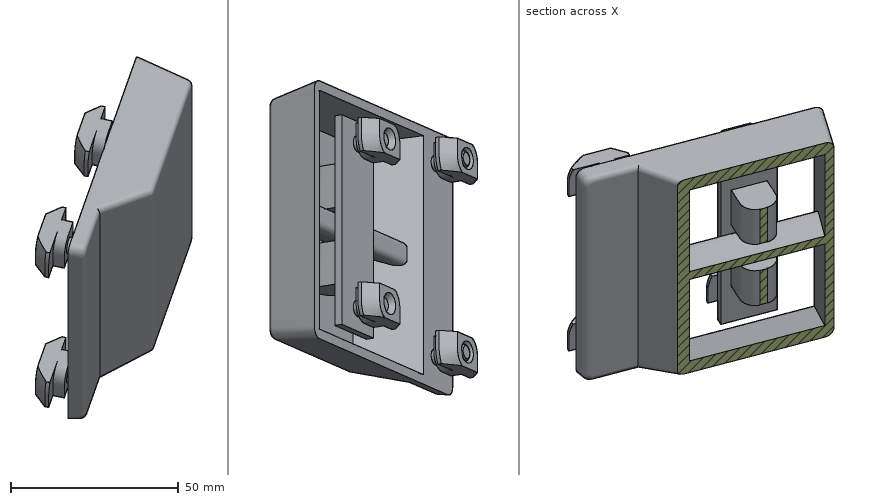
import cadquery as cq
SIDE = 80.0
DEPTH = 18.0
DRAFT_ANGLE = 9.0
CORNER_RADIUS = 3.0
EDGE_RADIUS = 2.0

STEP_DEPTH = 5.0
SLOPE_HIGH_Y = -9.0
SLOPE_LOW_Y = SLOPE_HIGH_Y - (DEPTH - STEP_DEPTH)

CAVITY_DEPTH = 15.4
OPENING_HIGH_Y = 37.0
OPENING_LOW_Y = -23.0
OPENING_HALF_Z = 37.0
FLOOR_HIGH_Y = 34.5
FLOOR_LOW_Y = OPENING_LOW_Y + CAVITY_DEPTH
FLOOR_HALF_Z = 32.7

RIB_TOP_X = 3.5
RIB_WAIST_X = 6.7
RIB_WIDTH = 7.5
RIB_FOOT_WIDTH = 2.4
RIB_EDGE_RADIUS = 2.0

PLATE_Y = 15.0
PLATE_WIDTH = 18.3
PLATE_LENGTH = 65.0
PLATE_THICKNESS = 2.5

LUG_BACK_X = 14.0
LUG_WIDTH = 11.6
LUG_OUTER_Z = 18.6
LUG_INNER_Z = 5.1
LUG_EDGE_RADIUS = 5.0
SEAT_WIDTH = 3.2

NUT_FACE_X = -11.2
FLANGE_BACK_X = -6.0
NECK_BACK_X = -2.5
NUT_LENGTH = 19.7
NUT_WIDTH = 10.0
BEVEL = 4.0
STUD_DIAMETER = 5.0

MOUTH_DIAMETER = 6.7
MOUTH_CHAMFER = 0.4
CONE_DEPTH = 1.3
HOLE_FLOOR_DIAMETER = 4.0

TIP_DIAMETER = 5.0
TIP_CHAMFER = 0.5
TIP_RECESS = 0.3

STEP_NUT_Y = -30.0
STEP_NUT_Z = 30.0
PLATE_NUT_Z = 25.5

TOLERANCE = 0.1


def box(x_range, y_range, z_range):
    """A box given by its limits along X, Y and Z."""
    sizes = [high - low for low, high in (x_range, y_range, z_range)]
    corner = (x_range[0], y_range[0], z_range[0])
    return cq.Workplane("XY").box(*sizes, centered=False).translate(corner)


def centered_range(middle, size):
    return middle - size / 2, middle + size / 2


def is_corner_edge(edge):
    """Corner edges start on the mounting face and leave it."""
    bounds = edge.BoundingBox()
    return bounds.xmin < TOLERANCE < bounds.xmax


def is_raised_edge(edge):
    """Edges around the far faces, without the inside bend at the foot of the slope."""
    at_slope_foot = abs(edge.Center().y - SLOPE_LOW_Y) < TOLERANCE
    return edge.BoundingBox().xmin > STEP_DEPTH - TOLERANCE and not at_slope_foot


def housing_block():
    block = cq.Workplane("YZ").rect(SIDE, SIDE).extrude(DEPTH, taper=DRAFT_ANGLE)
    step_relief = (
        cq.Workplane("XY")
        .polyline([
            (DEPTH, SLOPE_HIGH_Y),
            (STEP_DEPTH, SLOPE_LOW_Y),
            (STEP_DEPTH, -SIDE),
            (DEPTH, -SIDE),
        ])
        .close()
        .extrude(SIDE, both=True)
    )
    block = block.cut(step_relief)
    block = block.edges().filter(is_corner_edge).fillet(CORNER_RADIUS)
    return block.edges().filter(is_raised_edge).fillet(EDGE_RADIUS)


def cavity_outline(x, low_y, high_y, half_z):
    corners = [
        cq.Vector(x, low_y, -half_z),
        cq.Vector(x, high_y, -half_z),
        cq.Vector(x, high_y, half_z),
        cq.Vector(x, low_y, half_z),
    ]
    return cq.Wire.makePolygon(corners, close=True)


def cavity():
    opening = cavity_outline(0, OPENING_LOW_Y, OPENING_HIGH_Y, OPENING_HALF_Z)
    floor = cavity_outline(CAVITY_DEPTH, FLOOR_LOW_Y, FLOOR_HIGH_Y, FLOOR_HALF_Z)
    return cq.Workplane(cq.Solid.makeLoft([opening, floor], True))


def rib():
    """The rib as a bar over the full side, to be trimmed to the cavity."""
    half_width = RIB_WIDTH / 2
    half_foot = RIB_FOOT_WIDTH / 2
    bar = (
        cq.Workplane("XZ", origin=(0, SIDE / 2, 0))
        .polyline([
            (RIB_TOP_X, -half_width),
            (RIB_TOP_X, half_width),
            (RIB_WAIST_X, half_width),
            (CAVITY_DEPTH, half_foot),
            (CAVITY_DEPTH, -half_foot),
            (RIB_WAIST_X, -half_width),
        ])
        .close()
        .extrude(SIDE)
    )
    return bar.edges("<X and |Y").fillet(RIB_EDGE_RADIUS)


def plate():
    width_range = centered_range(PLATE_Y, PLATE_WIDTH)
    return box((0, PLATE_THICKNESS), width_range, centered_range(0, PLATE_LENGTH))


def plate_seat():
    width_range = centered_range(PLATE_Y, LUG_WIDTH)
    return box((PLATE_THICKNESS, RIB_TOP_X), width_range, centered_range(0, SEAT_WIDTH))


def lugs():
    width_range = centered_range(PLATE_Y, LUG_WIDTH)
    upper_lug = box((PLATE_THICKNESS, LUG_BACK_X), width_range, (LUG_INNER_Z, LUG_OUTER_Z))
    upper_lug = upper_lug.edges(">X and |Z").fillet(LUG_EDGE_RADIUS)
    return upper_lug.union(upper_lug.mirror("XY"))


def make_housing():
    hollow = cavity()
    housing = housing_block().cut(hollow)
    housing = housing.union(rib().intersect(hollow))
    return housing.union(plate_seat()).union(plate()).union(lugs())


def nut_profile():
    """Half of the nut's T-shaped section, from the X axis towards +Y."""
    half_length = NUT_LENGTH / 2
    half_neck = NUT_WIDTH / 2
    return (
        cq.Workplane("XY")
        .polyline([
            (NUT_FACE_X, 0),
            (NUT_FACE_X, half_length - BEVEL),
            (NUT_FACE_X + BEVEL, half_length),
            (FLANGE_BACK_X, half_length),
            (FLANGE_BACK_X, half_neck),
            (NECK_BACK_X, half_neck),
            (NECK_BACK_X, 0),
        ])
        .close()
    )


def nut_blank():
    """Two opposite quarters are straight, the other two are round so that the nut can turn in."""
    half_width = NUT_WIDTH / 2
    straight_quarter = nut_profile().extrude(half_width)
    round_zone = box((NUT_FACE_X, 0), (0, NUT_LENGTH), (-half_width, 0))
    round_quarter = nut_profile().revolve(360, (0, 0, 0), (1, 0, 0)).intersect(round_zone)
    half_nut = straight_quarter.union(round_quarter)
    return half_nut.union(half_nut.rotate((0, 0, 0), (1, 0, 0), 180))


def nut_hole():
    mouth_radius = MOUTH_DIAMETER / 2
    cone_radius = mouth_radius - MOUTH_CHAMFER
    cone_x = NUT_FACE_X + MOUTH_CHAMFER
    floor_x = cone_x + CONE_DEPTH
    return (
        cq.Workplane("XY")
        .polyline([
            (NUT_FACE_X, 0),
            (NUT_FACE_X, mouth_radius),
            (cone_x, cone_radius),
            (floor_x, HOLE_FLOOR_DIAMETER / 2),
            (floor_x, 0),
        ])
        .close()
        .revolve(360, (0, 0, 0), (1, 0, 0))
    )


def stud_tip():
    tip_x = NUT_FACE_X + TIP_RECESS
    tip = cq.Workplane("YZ", origin=(tip_x, 0, 0)).circle(TIP_DIAMETER / 2)
    return tip.extrude(NECK_BACK_X - tip_x).faces("<X").chamfer(TIP_CHAMFER)


def make_t_nut(y, z, has_tip):
    stud = cq.Workplane("YZ").circle(STUD_DIAMETER / 2).extrude(NECK_BACK_X)
    nut = nut_blank().union(stud).cut(nut_hole())
    if has_tip:
        nut = nut.union(stud_tip())
    return nut.translate((0, y, z))


housing = make_housing()

t_nuts = []
for side in (-1, 1):
    t_nuts.append(make_t_nut(STEP_NUT_Y, side * STEP_NUT_Z, has_tip=True))
    t_nuts.append(make_t_nut(PLATE_Y, side * PLATE_NUT_Z, has_tip=False))

result = cq.Compound.makeCompound([housing.val(), *[nut.val() for nut in t_nuts]])